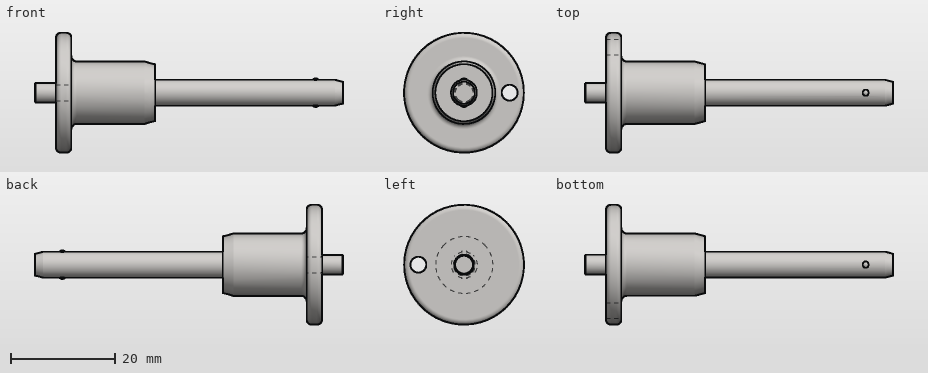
import cadquery as cq
import math


grip_end = 0.0
handle_length = 19.0
flange_thickness = 3.0
flange_diameter = 23.0
flange_edge_radius = 1.0
grip_diameter = 12.0
grip_root_radius = 1.0
grip_taper_length = 2.0
taper_angle = 15.0

lanyard_hole_diameter = 3.0
lanyard_hole_offset = 8.75

button_diameter = 3.8
button_length = 4.0
button_chamfer = 0.2

shank_diameter = 5.0
shank_length = 36.0
tip_taper_length = 1.5

ball_diameter = 1.5
ball_tip_distance = 5.25
ball_protrusion = 0.25

flange_face = grip_end - handle_length
flange_back = flange_face + flange_thickness
button_face = flange_face - button_length
taper_slope = math.tan(math.radians(taper_angle))
ball_x = grip_end + shank_length - ball_tip_distance
ball_z = shank_diameter / 2 + ball_protrusion - ball_diameter / 2


def disc(start, length, diameter):
    """Round bar along +X."""
    return cq.Workplane("YZ", origin=(start, 0, 0)).circle(diameter / 2).extrude(length)


def tapered_bar(start, length, diameter, taper_length):
    """Round bar along +X whose far end narrows over the taper length."""
    bar = disc(start, length, diameter)
    return bar.faces(">X").chamfer(taper_length, taper_length * taper_slope)


def make_root_fillet():
    """Ring that blends the grip into the back of the flange."""
    grip_radius = grip_diameter / 2
    fillet_end = flange_back + grip_root_radius
    arc_mid_offset = grip_root_radius * (1 - math.sqrt(0.5))
    return (
        cq.Workplane("XY")
        .moveTo(flange_back, 0)
        .lineTo(flange_back, grip_radius + grip_root_radius)
        .threePointArc(
            (flange_back + arc_mid_offset, grip_radius + arc_mid_offset),
            (fillet_end, grip_radius),
        )
        .lineTo(fillet_end, 0)
        .close()
        .revolve(360, (0, 0, 0), (1, 0, 0))
    )


def make_handle():
    """Flange with rounded rim, tapered grip and lanyard hole."""
    flange = disc(flange_face, flange_thickness, flange_diameter)
    flange = flange.edges().fillet(flange_edge_radius)
    grip = tapered_bar(flange_back, grip_end - flange_back, grip_diameter, grip_taper_length)
    lanyard_hole = disc(flange_face, flange_thickness, lanyard_hole_diameter)
    lanyard_hole = lanyard_hole.translate((0, lanyard_hole_offset, 0))
    return flange.union(grip).union(make_root_fillet()).cut(lanyard_hole)


def make_button():
    """Release button standing on the outer face of the flange."""
    button = disc(button_face, button_length, button_diameter)
    return button.faces("<X").chamfer(button_chamfer)


def make_shank():
    """Shank with tapered tip and a locking ball above and below the axis."""
    shank = tapered_bar(grip_end, shank_length, shank_diameter, tip_taper_length)
    for side in (1, -1):
        ball = cq.Workplane("XY", origin=(ball_x, 0, side * ball_z)).sphere(ball_diameter / 2)
        shank = shank.union(ball)
    return shank


handle = make_handle()
button = make_button()
shank = make_shank()

bodies = [handle, button, shank]
result = cq.Compound.makeCompound([body.solids().val() for body in bodies])